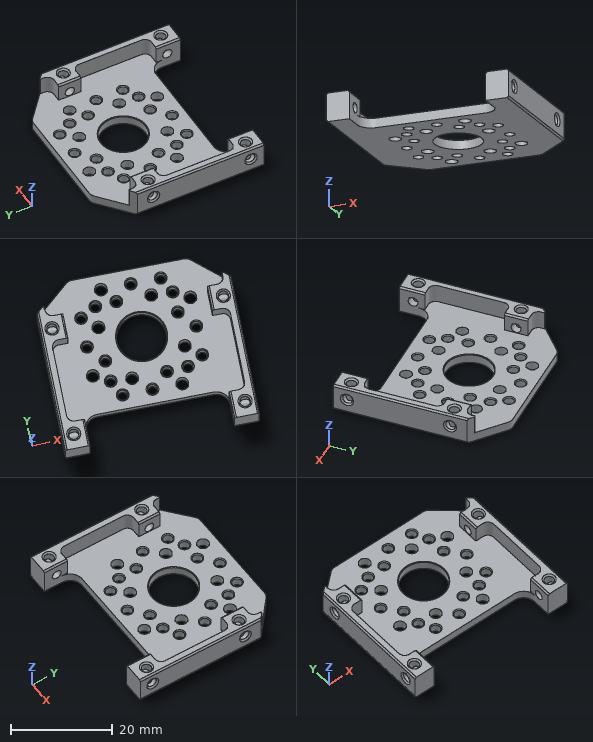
import cadquery as cq
import math


width = 39.0
rail_height = 6.0
plate_thickness = 2.03
back_y = 14.0
front_y = -21.0

plate_front_y = -13.92
shoulder_y = 7.6
back_corner_x = 12.0
back_corner_radius = 2.0
throat_radius = 2.8

rail_width = 4.95
wall_thickness = 1.6
rail_back_y = 8.7
rail_chamfer = 0.35
pad_back_y = 6.5
pad_front_y = 1.5
foot_back_y = -15.5
relief_radius = 1.5

bore_diameter = 10.0
bore_chamfer = 0.15

clearance_diameter = 2.5
tapped_diameter = 2.05
plate_chamfer = (clearance_diameter - tapped_diameter) / 2
rail_hole_chamfer = 0.35
pattern_radius = 11.0
pattern_diagonal = pattern_radius * math.sqrt(0.5)
outer_offset = 6.0
inner_near = 3.5
inner_far = 8.0
rail_hole_x = 17.25
rail_hole_ys = (3.98, -18.0)
cross_hole_z = 3.2
core_web = 0.05

clearance_quarter = [(-outer_offset, pattern_radius), (inner_near, inner_far)]
tapped_quarter = [
    (outer_offset, pattern_radius),
    (-inner_near, inner_far),
    (0, pattern_radius),
    (pattern_diagonal, pattern_diagonal),
]

half_width = width / 2
rail_inner_x = half_width - rail_width
wall_inner_x = half_width - wall_thickness
core_diameter = tapped_diameter + 2 * core_web


def block(x_range, y_range, z_range):
    """Axis-aligned box between two limits on each axis."""
    (x0, x1), (y0, y1), (z0, z1) = x_range, y_range, z_range
    return cq.Workplane("XY").box(x1 - x0, y1 - y0, z1 - z0, centered=False).translate((x0, y0, z0))


def cylinder(start, direction, diameter, length):
    return cq.Workplane(cq.Solid.makeCylinder(diameter / 2, length, cq.Vector(*start), cq.Vector(*direction)))


def chamfered_mouth(center, direction, diameter, chamfer):
    """45-degree cone that breaks the edge of a hole; direction points into the part."""
    radius = diameter / 2
    return cq.Workplane(
        cq.Solid.makeCone(radius + chamfer, radius, chamfer, cq.Vector(*center), cq.Vector(*direction))
    )


def quarter_turns(points):
    """Points repeated around the bore axis in four 90-degree steps."""
    turned = []
    for x, y in points:
        turned += [(x, y), (y, -x), (-x, -y), (-y, x)]
    return turned


def body_outline(height):
    """Full outer silhouette, with slanted back corners, as a prism."""
    return (
        cq.Workplane("XY")
        .polyline([
            (-half_width, front_y),
            (half_width, front_y),
            (half_width, shoulder_y),
            (back_corner_x, back_y),
            (-back_corner_x, back_y),
            (-half_width, shoulder_y),
        ])
        .close()
        .extrude(height)
        .edges("|Z and (>Y)")
        .fillet(back_corner_radius)
    )


def make_plate():
    plate = body_outline(plate_thickness)
    throat = (
        block((-rail_inner_x, rail_inner_x), (front_y, plate_front_y), (0, plate_thickness))
        .edges("|Z and >Y")
        .fillet(throat_radius)
    )
    return plate.cut(throat)


def make_rail():
    """Right-hand rail, before it is trimmed to the outer silhouette."""
    rail = block((rail_inner_x, half_width), (front_y, rail_back_y), (0, rail_height))
    rail = rail.edges("|Y and <X and >Z").chamfer(rail_chamfer)
    above_plate = (plate_thickness, rail_height)
    middle_relief = (
        block((0, wall_inner_x), (foot_back_y, pad_front_y), above_plate)
        .edges("|Z and >X")
        .fillet(relief_radius)
    )
    back_relief = (
        block((0, wall_inner_x), (pad_back_y, back_y), above_plate)
        .edges("|Z and >X and <Y")
        .fillet(relief_radius)
    )
    return rail.cut(middle_relief).cut(back_relief)


def make_body():
    rail = make_rail().intersect(body_outline(rail_height))
    body = make_plate().union(rail).union(rail.mirror("YZ")).clean()
    return body.edges("|Y and (<X or >X)").chamfer(rail_chamfer)


def drill_plate(body):
    down = (0, 0, -1)
    body = body.cut(cylinder((0, 0, plate_thickness), down, bore_diameter, plate_thickness))
    body = body.cut(chamfered_mouth((0, 0, plate_thickness), down, bore_diameter, bore_chamfer))
    for x, y in quarter_turns(clearance_quarter):
        body = body.cut(cylinder((x, y, plate_thickness), down, clearance_diameter, plate_thickness))
    for x, y in quarter_turns(tapped_quarter):
        body = body.cut(cylinder((x, y, plate_thickness), down, tapped_diameter, plate_thickness))
        body = body.cut(chamfered_mouth((x, y, plate_thickness), down, tapped_diameter, plate_chamfer))
    return body


def drill_rail(body, side, y):
    """Vertical bore and cross hole of one rail; side is 1 for the right rail and -1 for the left.

    A solid core is left where the two would cross, so each ends on a rounded face.
    """
    x = side * rail_hole_x
    inward = (-side, 0, 0)
    down = (0, 0, -1)
    top = (x, y, rail_height)
    outer = (side * half_width, y, cross_hole_z)

    vertical_core = cylinder((x, y, rail_height), down, core_diameter, rail_height)
    cross_core = cylinder(outer, inward, core_diameter, rail_width)
    vertical_bore = cylinder(top, down, tapped_diameter, rail_height - cross_hole_z).cut(cross_core)
    cross_hole = cylinder(outer, inward, tapped_diameter, rail_width).cut(vertical_core)

    body = body.cut(vertical_bore).cut(cross_hole)
    body = body.cut(chamfered_mouth(top, down, tapped_diameter, rail_hole_chamfer))
    return body.cut(chamfered_mouth(outer, inward, tapped_diameter, rail_hole_chamfer))


def drill_rails(body):
    for side in (-1, 1):
        for y in rail_hole_ys:
            body = drill_rail(body, side, y)
    return body


result = drill_rails(drill_plate(make_body()))